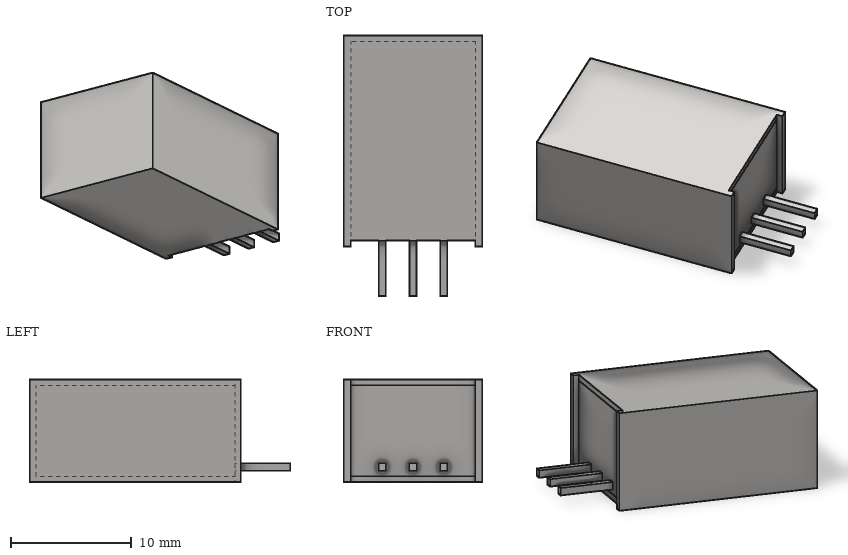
import cadquery as cq

case_width = 11.5
case_height = 8.5
case_length = 17.5
side_wall = 0.6
top_wall = 0.5
back_wall = top_wall
lip_depth = 0.5

pin_count = 3
pin_pitch = 2.54
pin_width = 0.6
pin_height = 0.65
pin_reach = 4.1
pin_center_height = 1.25

front_face = lip_depth
pin_tip = -pin_reach

cavity_width = case_width - 2 * side_wall
cavity_height = case_height - 2 * top_wall
cavity_length = case_length - back_wall - front_face

pin_xs = [(i - (pin_count - 1) / 2) * pin_pitch for i in range(pin_count)]


def bar(width, height, y_start, length, x_center, z_bottom):
    """Box running along +Y from y_start, standing on z_bottom."""
    return (
        cq.Workplane("XY")
        .box(width, length, height, centered=(True, False, False))
        .translate((x_center, y_start, z_bottom))
    )


def make_filling():
    return bar(cavity_width, cavity_height, front_face, cavity_length, 0, top_wall)


def make_pin(x_center):
    z_bottom = pin_center_height - pin_height / 2
    return bar(pin_width, pin_height, pin_tip, front_face - pin_tip, x_center, z_bottom)


def make_case():
    block = bar(case_width, case_height, 0, case_length, 0, 0)
    setback = bar(cavity_width, case_height, 0, lip_depth, 0, 0)
    return block.cut(setback).cut(make_filling())


case = make_case()
filling = make_filling()
pins = [make_pin(x_center) for x_center in pin_xs]

result = cq.Compound.makeCompound([case.val(), filling.val(), *[pin.val() for pin in pins]])